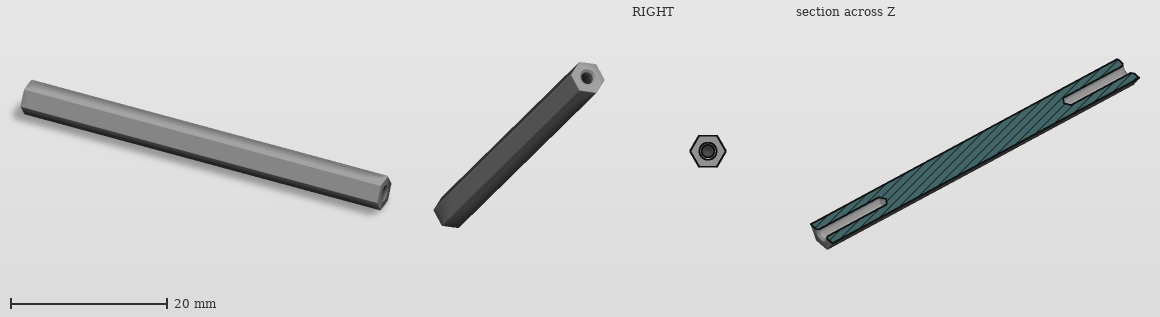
import cadquery as cq
import math

length = 50.0
across_flats = 4.0
across_corners = across_flats * 2 / math.sqrt(3)

edge_radius = 0.1

bore_diameter = 1.6
bore_depth = 10.0
drill_tip_angle = 118.0
mouth_diameter = 2.2
mouth_depth = (mouth_diameter - bore_diameter) / 2
drill_tip_depth = bore_diameter / 2 / math.tan(math.radians(drill_tip_angle / 2))


def revolve_about_x(points):
    """Revolve a profile of (x, radius) points around the X axis."""
    return cq.Workplane("XY").polyline(points).close().revolve(360, (0, 0, 0), (1, 0, 0))


def hexagon_bar():
    bar = cq.Workplane("YZ").polygon(6, across_corners).extrude(length)
    return bar.edges().fillet(edge_radius)


def bore():
    """Blind bore starting at x = 0, with its countersunk mouth and drill tip."""
    return revolve_about_x([
        (0, 0),
        (0, mouth_diameter / 2),
        (mouth_depth, bore_diameter / 2),
        (bore_depth, bore_diameter / 2),
        (bore_depth + drill_tip_depth, 0),
    ])


near_bore = bore()
far_bore = near_bore.mirror("YZ").translate((length, 0, 0))
standoff = hexagon_bar().cut(near_bore).cut(far_bore)
result = standoff.translate((-length / 2, 0, 0))